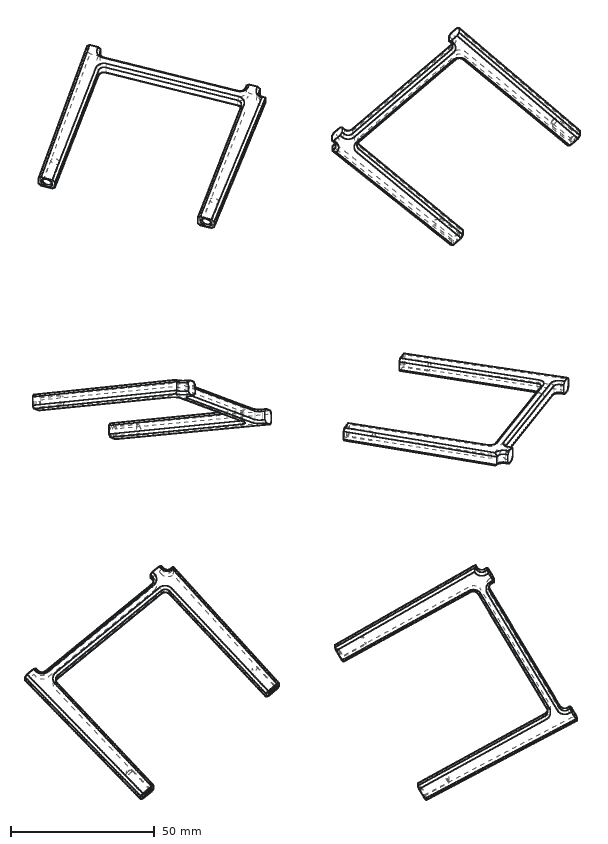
import cadquery as cq
import math

width = 65.95
length = 60.0
thickness = 5.0
edge_chamfer = 1.0
corner_radius = 2.0

leg_taper = 1.0
inner_half_width = 26.0

bar_rear_y = -3.05
bar_front_y = -7.05
prong_width = 5.0
right_prong_start = 25.05

hole_x = 29.0
hole_diameter = 3.15
hole_depth = 9.9
drill_point_angle = 118.0
countersink_diameter = 4.15

half_width = width / 2
front_half_width = half_width - leg_taper
left_prong_end = -half_width + prong_width
right_prong_end = right_prong_start + prong_width

right_side_slope = leg_taper / (length + bar_rear_y)
right_rear_half_width = half_width - right_side_slope * bar_rear_y


def make_frame():
    """Extruded outline with rounded inside corners and chamfered long edges."""
    outline = [
        (-half_width, 0),
        (left_prong_end, 0),
        (left_prong_end, bar_rear_y),
        (right_prong_start, bar_rear_y),
        (right_prong_start, 0),
        (right_rear_half_width, 0),
        (front_half_width, -length),
        (inner_half_width, -length),
        (inner_half_width, bar_front_y),
        (-inner_half_width, bar_front_y),
        (-inner_half_width, -length),
        (-front_half_width, -length),
    ]
    frame = cq.Workplane("XY").polyline(outline).close().extrude(thickness / 2, both=True)

    inside_corners = [
        (left_prong_end, bar_rear_y),
        (right_prong_start, bar_rear_y),
        (inner_half_width, bar_front_y),
        (-inner_half_width, bar_front_y),
    ]
    for x, y in inside_corners:
        corner = cq.selectors.NearestToPointSelector((x, y, 0))
        frame = frame.edges("|Z").edges(corner).fillet(corner_radius)

    end_edges = frame.faces(">Y or <Y").edges().vals()
    rim_edges = frame.faces("|Z").edges().vals()
    long_edges = [edge for edge in rim_edges if edge not in end_edges]
    return frame.newObject(long_edges).chamfer(edge_chamfer)


def make_notch_cutter():
    """Round-cornered block for the outer right notch, flared to chamfer its rims."""
    size = 2 * prong_width
    center = (right_prong_end + size / 2, bar_rear_y + size / 2)

    def block(start_z):
        base = cq.Workplane("XY", origin=(*center, start_z))
        return base.sketch().rect(size, size).vertices().fillet(corner_radius).finalize()

    flare_start = thickness / 2 - edge_chamfer
    cutter = block(-thickness / 2).extrude(thickness)
    flare = block(flare_start).extrude(edge_chamfer, taper=-45)
    return cutter.union(flare).union(flare.mirror("XY"))


def make_hole_cutter(x):
    """Revolved drill shape: countersink, straight bore and conical tip."""
    bore_radius = hole_diameter / 2
    countersink_radius = countersink_diameter / 2
    countersink_depth = countersink_radius - bore_radius
    tip_depth = bore_radius / math.tan(math.radians(drill_point_angle / 2))
    profile = [
        (0, 0),
        (countersink_radius, 0),
        (bore_radius, countersink_depth),
        (bore_radius, hole_depth),
        (0, hole_depth + tip_depth),
    ]
    cutter = cq.Workplane("XY").polyline(profile).close().revolve(360, (0, 0), (0, 1))
    return cutter.translate((x, -length, 0))


result = make_frame().cut(make_notch_cutter())
for side in (-1, 1):
    result = result.cut(make_hole_cutter(side * hole_x))